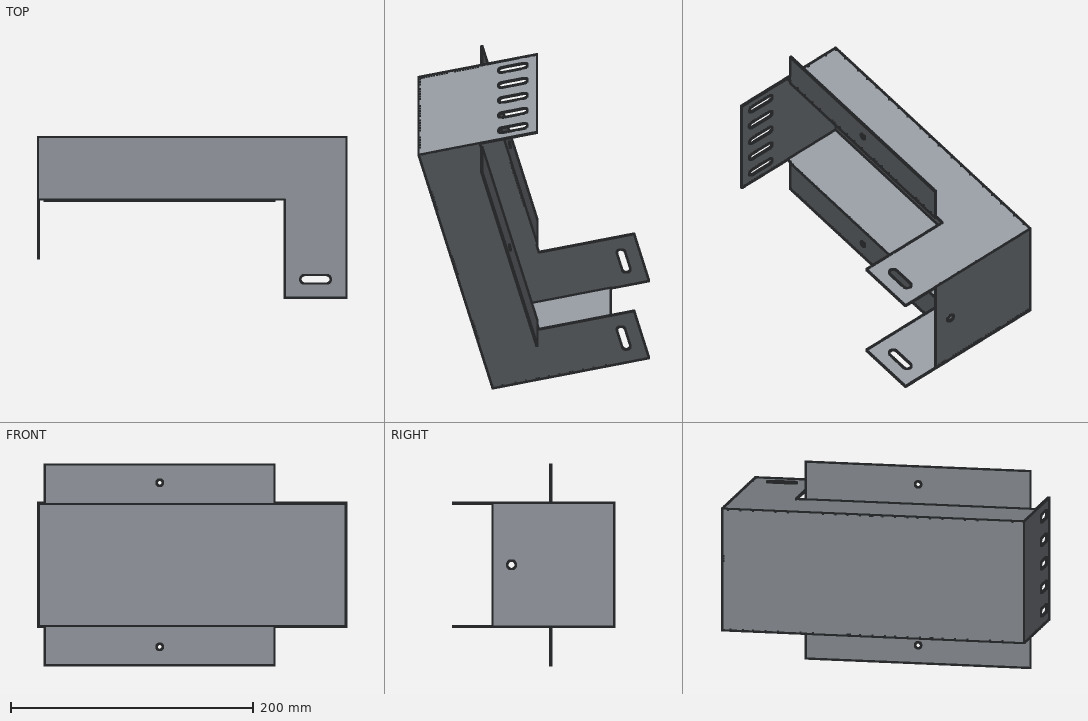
import cadquery as cq

length = 255.0
depth = 133.0
total_height = 166.0
sheet = 1.0

box_height = 102.8
arm_depth = 52.0
leg_width = 51.3
wall_depth = 100.7

flange_offset = 5.5
flange_length = 190.0
flange_hole_diameter = 5.0
flange_hole_height = 67.8

slot_length = 25.0
slot_width = 7.0
wall_slot_count = 5
wall_slot_pitch = 20.0
wall_slot_inset = 20.5
leg_slot_inset = 15.3
wall_hole_diameter = 7.0
wall_hole_inset = 15.8

box_half = box_height / 2
wall_front = depth - wall_depth
arm_front = depth - arm_depth
leg_left = length - leg_width


def block(x, y, z, size_x, size_y, size_z):
    """Box with its lowest corner at (x, y, z)."""
    return cq.Workplane("XY").box(size_x, size_y, size_z, centered=False).translate((x, y, z))


def l_plate(z):
    """L-shaped plate with its underside at height z and a slot near the end of its leg."""
    outline = [
        (0, depth),
        (length, depth),
        (length, 0),
        (leg_left, 0),
        (leg_left, arm_front),
        (0, arm_front),
    ]
    plate = cq.Workplane("XY", origin=(0, 0, z)).polyline(outline).close().extrude(sheet)
    slot = (
        cq.Workplane("XY", origin=(leg_left + leg_width / 2, leg_slot_inset, z))
        .slot2D(slot_length, slot_width)
        .extrude(sheet)
    )
    return plate.cut(slot)


def slotted_wall():
    """Left end wall with a column of slots."""
    wall = block(0, wall_front, -box_half, sheet, wall_depth, box_height)
    slots = (
        cq.Workplane("YZ", origin=(0, wall_front + wall_slot_inset, 0))
        .rarray(2.5, wall_slot_pitch, 1, wall_slot_count)
        .slot2D(slot_length, slot_width)
        .extrude(sheet)
    )
    return wall.cut(slots)


def drilled_wall():
    """Right end wall with one hole at mid-height."""
    wall = block(length - sheet, wall_front, -box_half, sheet, wall_depth, box_height)
    hole = (
        cq.Workplane("YZ", origin=(length - sheet, wall_front + wall_hole_inset, 0))
        .circle(wall_hole_diameter / 2)
        .extrude(sheet)
    )
    return wall.cut(hole)


def upper_flange():
    """Upright flange in front of the top plate edge, overlapping the plate thickness."""
    flange_bottom = box_half - sheet
    flange_height = total_height / 2 - flange_bottom
    flange_front = arm_front - sheet
    flange = block(flange_offset, flange_front, flange_bottom, flange_length, sheet, flange_height)
    hole = (
        cq.Workplane("XZ", origin=(flange_offset + flange_length / 2, arm_front, flange_hole_height))
        .circle(flange_hole_diameter / 2)
        .extrude(sheet)
    )
    return flange.cut(hole)


back_wall = block(0, depth - sheet, -box_half, length, sheet, box_height)
flange = upper_flange()

result = (
    back_wall.union(l_plate(-box_half))
    .union(l_plate(box_half - sheet))
    .union(slotted_wall())
    .union(drilled_wall())
    .union(flange)
    .union(flange.mirror("XY"))
)